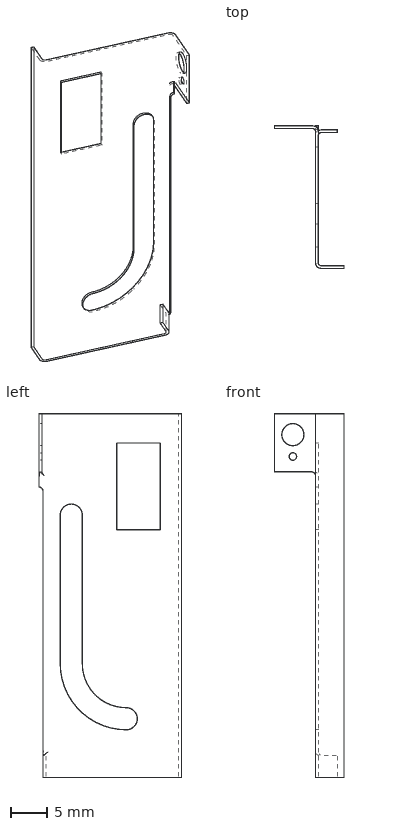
import cadquery as cq
import math

width, depth, height = 9.7, 19.75, 50.4
thickness = 0.4
inner_bend = 0.4
outer_bend = inner_bend + thickness
blend = 0.6

front_flange_reach = 4.0
web_left = width - front_flange_reach
web_right = web_left + thickness
web_rear = depth - 0.55
ear_bottom = 40.25
ear_corner = depth - web_rear

upper_flange_height = 8.05
lower_flange_height = 3.1
lower_flange_reach = 3.0

flange_hole_x = 2.55
large_hole_z, large_hole_diameter = 47.5, 3.0
small_hole_z, small_hole_diameter = 44.45, 1.0

window_front, window_bottom = 2.95, 34.35
window_width, window_height = 6.0, 12.0

slot_width = 3.0
slot_y, slot_top_z = 15.3, 36.35
slot_bend_radius = 7.6
slot_bend_z = 15.8

diagonal = math.sqrt(0.5)


def make_web():
    """Flat sheet from the front bend to the rear edge, without the rear bends."""
    upper_bottom = height - upper_flange_height
    outline = (
        cq.Workplane("YZ", origin=(web_left, 0, 0))
        .moveTo(outer_bend, 0)
        .lineTo(web_rear - outer_bend, 0)
        .lineTo(web_rear - outer_bend, lower_flange_height)
        .lineTo(web_rear, lower_flange_height)
        .lineTo(web_rear, ear_bottom - ear_corner)
        .threePointArc(
            (depth - ear_corner * diagonal, ear_bottom - ear_corner * (1 - diagonal)),
            (depth, ear_bottom),
        )
        .lineTo(depth, upper_bottom)
        .lineTo(depth - outer_bend, upper_bottom)
        .lineTo(depth - outer_bend, height)
        .lineTo(outer_bend, height)
        .close()
    )
    return outline.extrude(thickness)


def bent_flange(reach, rear, flange_height):
    """Bend and flange turning from the web's rear end toward +X, standing on z = 0."""
    tangent_y = rear - outer_bend
    center_x = web_left + outer_bend
    return (
        cq.Workplane("XY")
        .moveTo(web_left, tangent_y)
        .threePointArc(
            (center_x - outer_bend * diagonal, tangent_y + outer_bend * diagonal),
            (center_x, rear),
        )
        .lineTo(web_left + reach, rear)
        .lineTo(web_left + reach, rear - thickness)
        .lineTo(center_x, rear - thickness)
        .threePointArc(
            (center_x - inner_bend * diagonal, tangent_y + inner_bend * diagonal),
            (web_right, tangent_y),
        )
        .close()
        .extrude(flange_height)
    )


def blend_wedge(face_x, base_z, rear):
    """Wedge in the corner of x = face_x and z = base_z, with a concave round of the blend radius."""
    return (
        cq.Workplane("XZ", origin=(0, rear, 0))
        .moveTo(face_x, base_z)
        .lineTo(face_x, base_z + blend)
        .threePointArc(
            (face_x + blend * (1 - diagonal), base_z + blend * (1 - diagonal)),
            (face_x + blend, base_z),
        )
        .close()
        .extrude(outer_bend)
    )


def add_rear_flange(body, reach, rear, flange_height):
    """Join a flange at the foot of the web and ease its bend into the flat sheet above."""
    bend_axis = cq.Workplane("XY").center(web_left + outer_bend, rear - outer_bend)
    bend_cylinder = bend_axis.circle(outer_bend).extrude(flange_height + blend)
    taller_flange = bent_flange(reach, rear, flange_height + blend)

    inside_fill = blend_wedge(web_right, flange_height, rear).intersect(taller_flange)
    outside_round = blend_wedge(web_left, flange_height, rear).cut(bend_cylinder)
    flange = bent_flange(reach, rear, flange_height)
    return body.cut(outside_round).union(flange).union(inside_fill)


def turn_over(body):
    """Half turn about the Y-parallel line through the middle of the web."""
    middle_x = (web_left + web_right) / 2
    return body.rotate((middle_x, 0, height / 2), (middle_x, 1, height / 2), 180)


def make_front_flange():
    """Full-height flange at y = 0: the rear flange shape reflected in Y."""
    return bent_flange(front_flange_reach, 0, height).mirror("XZ")


def hole_cutter(x, z, diameter):
    """Hole through the upper rear flange."""
    plane = cq.Workplane("XZ", origin=(x, depth, z))
    return plane.circle(diameter / 2).extrude(thickness)


def slot_cutter():
    """Straight upright slot running into a quarter turn toward the front."""
    half = slot_width / 2
    outer_radius = slot_bend_radius + half
    inner_radius = slot_bend_radius - half
    turn_y = slot_y - slot_bend_radius
    end_z = slot_bend_z - slot_bend_radius
    return (
        cq.Workplane("YZ", origin=(web_left, 0, 0))
        .moveTo(slot_y + half, slot_bend_z)
        .lineTo(slot_y + half, slot_top_z)
        .threePointArc((slot_y, slot_top_z + half), (slot_y - half, slot_top_z))
        .lineTo(slot_y - half, slot_bend_z)
        .threePointArc(
            (turn_y + inner_radius * diagonal, slot_bend_z - inner_radius * diagonal),
            (turn_y, end_z + half),
        )
        .threePointArc((turn_y - half, end_z), (turn_y, end_z - half))
        .threePointArc(
            (turn_y + outer_radius * diagonal, slot_bend_z - outer_radius * diagonal),
            (slot_y + half, slot_bend_z),
        )
        .close()
        .extrude(thickness)
    )


def window_cutter():
    """Rectangular opening through the web."""
    return cq.Workplane("XY").box(thickness, window_width, window_height, centered=False).translate(
        (web_left, window_front, window_bottom)
    )


bracket = make_web().union(make_front_flange())
bracket = add_rear_flange(bracket, lower_flange_reach, web_rear, lower_flange_height)

bracket = add_rear_flange(turn_over(bracket), web_right, depth, upper_flange_height)
bracket = turn_over(bracket)

for hole_z, hole_diameter in (
    (large_hole_z, large_hole_diameter),
    (small_hole_z, small_hole_diameter),
):
    bracket = bracket.cut(hole_cutter(flange_hole_x, hole_z, hole_diameter))

result = bracket.cut(slot_cutter()).cut(window_cutter())